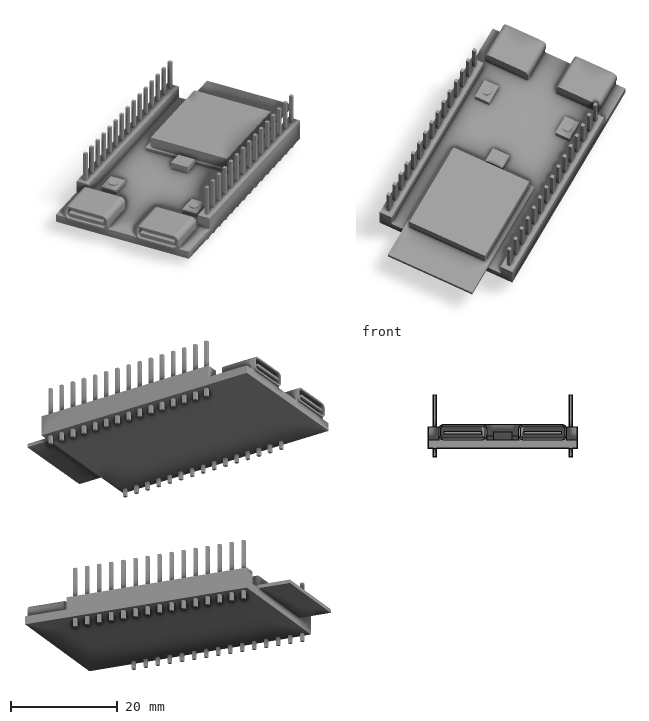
import cadquery as cq

board_width = 28.0
board_length = 46.0
board_thickness = 1.6

pin_count = 15
header_length = 37.4
pin_pitch = header_length / pin_count
pin_size = 0.65
pin_length = 11.6
pin_below_board = 1.6
header_width = 2.5
header_height = 2.45
header_x = (board_width - header_width) / 2

module_width = 17.8
module_length = 25.5
module_thickness = 0.7
module_overhang = 6.5
shield_width = 16.0
shield_length = 18.0
shield_front_margin = 0.5
shield_top_height = 2.9
module_front_y = board_length + module_overhang - module_length

led_width = 3.5
led_length = 3.0
led_height = 1.5
led_gap = 0.5

button_width = 3.0
button_length = 4.0
button_height = 1.0
button_x = 8.5
button_y = 13.0
knob_diameter = 1.75
knob_height = 0.25

usb_width = 9.0
usb_length = 7.4
usb_height = 2.9
usb_corner_radius = 1.0
usb_x = 7.45
usb_overhang = 0.5
usb_wall = 0.3
usb_cavity_depth = 6.35
tongue_width = 7.0
tongue_thickness = 0.5
tongue_middle_height = 1.3


def block(width, length, height, x, front_y, bottom_z):
    """Box centred on x, reaching back from front_y and up from bottom_z."""
    plane = cq.Workplane("XY", origin=(x, front_y, bottom_z))
    return plane.box(width, length, height, centered=(True, False, False))


def pin_header(x):
    """Header strip with its row of square pins passing through the board."""
    front_y = board_length - header_length
    header = block(header_width, header_length, header_height, x, front_y, board_thickness)
    for index in range(pin_count):
        pin_y = front_y + (index + 0.5) * pin_pitch
        pin = block(pin_size, pin_size, pin_length, x, pin_y - pin_size / 2, -pin_below_board)
        header = header.union(pin)
    return header


def wireless_module():
    carrier = block(module_width, module_length, module_thickness, 0, module_front_y, board_thickness)
    shield_front_y = module_front_y + shield_front_margin
    shield = block(shield_width, shield_length, shield_top_height, 0, shield_front_y, board_thickness)
    return carrier.union(shield)


def led():
    front_y = module_front_y - led_gap - led_length
    return block(led_width, led_length, led_height, 0, front_y, board_thickness)


def push_button(x):
    body = block(button_width, button_length, button_height, x, button_y - button_length / 2, board_thickness)
    knob = (
        cq.Workplane("XY", origin=(x, button_y, board_thickness))
        .circle(knob_diameter / 2)
        .extrude(button_height + knob_height)
    )
    return body.union(knob)


def usb_connector(x):
    """Shell with a rounded mouth, squared off at the bottom where it rests on the board."""
    tongue_bottom_z = board_thickness + tongue_middle_height - tongue_thickness / 2
    shell = block(usb_width, usb_length, usb_height, x, -usb_overhang, board_thickness)
    shell = shell.edges("|Y").fillet(usb_corner_radius)
    base = block(usb_width, usb_length - usb_overhang, usb_height / 2, x, 0, board_thickness)
    cavity = block(
        usb_width - 2 * usb_wall,
        usb_cavity_depth,
        usb_height - 2 * usb_wall,
        x,
        -usb_overhang,
        board_thickness + usb_wall,
    )
    cavity = cavity.edges("|Y").fillet(usb_corner_radius - usb_wall)
    tongue = block(tongue_width, usb_cavity_depth, tongue_thickness, x, -usb_overhang, tongue_bottom_z)
    return shell.union(base).cut(cavity).union(tongue)


result = block(board_width, board_length, board_thickness, 0, 0, 0)
result = result.union(wireless_module()).union(led())
for side in (-1, 1):
    result = result.union(pin_header(side * header_x))
    result = result.union(push_button(side * button_x))
    result = result.union(usb_connector(side * usb_x))